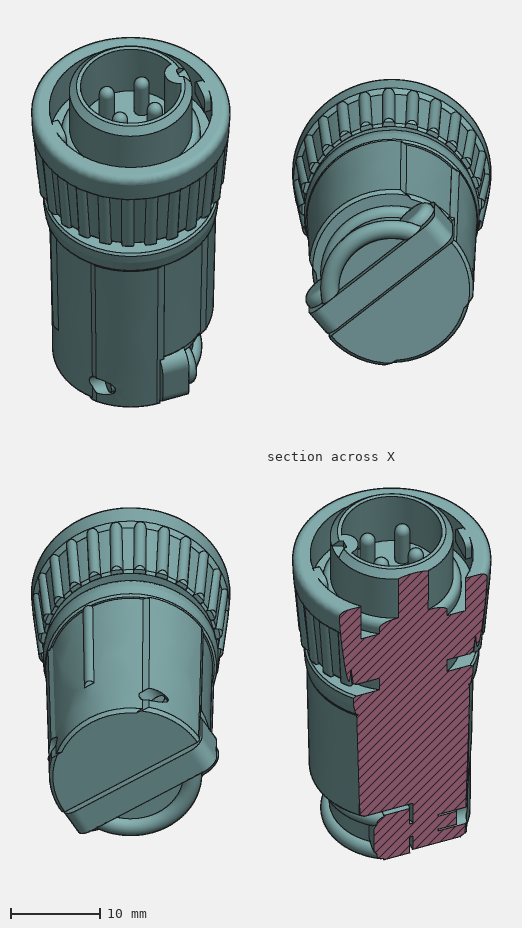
import cadquery as cq
import math

total_height = 43.84

tube_radius = 6.87
tube_bore_radius = 5.62
tube_rim_chamfer = 0.8
tube_floor_z = 37.0

sleeve_radius = 7.78
sleeve_top_z = 37.0
sleeve_fillet = 0.9

pin_radius = 0.85
pin_offset = 2.08
pin_tip_z = 42.1

key_radius = 1.6
key_center_y = 5.75
notch_outer_half_width = 1.05
notch_inner_half_width = 0.5
dimple_radius = 0.3
dimple_depth = 0.3
dimple_x = 1.77
dimple_y = 4.28

ring_radius = 11.11
ring_shoulder_radius = 11.0
ring_bottom_radius = 10.35
ring_bore_radius = 9.11
ring_top_z = 40.33
ring_shoulder_z = 37.08
ring_bottom_z = 28.36
ring_floor_z = 35.3
ring_rim_fillet = 0.8
grip_count = 24
grip_radius = 0.7
grip_height = 0.55
grip_edge_chamfer = 0.3

lug_half_width = 1.55
lug_flat_half_width = 0.7
lug_inner_y = 8.25
lug_bottom_z = 38.0

collar_top_radius = 9.78
collar_bottom_radius = 9.6
collar_top_z = 26.63
collar_band_z = 25.27
collar_bottom_z = 23.6
collar_edge = 0.25

shell_bottom_z = 0.4
shell_edge = 0.4
back_bottom_z = 7.56
panel_top_radius = 9.52
panel_bottom_radius = 9.1
slim_top_radius = 9.16
slim_bottom_radius = 8.76
panel_edge_angle = 44.5
slim_edge_angle = 40.2
wall_overrun = 1.5

rib_radius = 0.72
split_foot_y = 0.6
split_y = 0.07
split_bevel_y = -0.34
split_bevel_depth = 0.1

clamp_height = 6.95
clamp_half_width = 9.1
clamp_corner_radius = 1.64
clamp_inner_y = 0.4
clamp_outer_y = 3.52
clamp_bar_radius = 1.02
clamp_arch_radius = 7.95
clamp_web_radius = 7.0
screw_x = 6.6
screw_z = 3.5
screw_radius = 1.05
screw_hole_radius = 1.23
screw_end_y = -5.2
screw_hole_end_y = -3.0
screw_boss_radius = 2.45
screw_boss_end_y = 4.75
screw_boss_fillet = 0.95

span = 4 * ring_radius


def revolve_outline(points):
    """Solid of revolution about Z from (radius, z) points."""
    return cq.Workplane("YZ").polyline(points).close().revolve(360, (0, 0, 0), (0, 1, 0))


def box(x_range, y_range, z_range):
    (x0, x1), (y0, y1), (z0, z1) = x_range, y_range, z_range
    return cq.Workplane("XY").box(x1 - x0, y1 - y0, z1 - z0, centered=False).translate((x0, y0, z0))


def disc(radius, z0, z1):
    return cq.Workplane("XY").workplane(offset=z0).circle(radius).extrude(z1 - z0)


def cylinder_along_y(radius, x, z, y0, y1):
    return cq.Workplane(cq.Solid.makeCylinder(radius, y1 - y0, cq.Vector(x, y0, z), cq.Vector(0, 1, 0)))


def leaning_rod(radius, bottom_crest, bottom_z, top_crest, top_z):
    """Rod on the -Y side whose outer line runs from one crest distance to another."""
    start = cq.Vector(0, radius - bottom_crest, bottom_z)
    axis = cq.Vector(0, radius - top_crest, top_z) - start
    return cq.Workplane(cq.Solid.makeCylinder(radius, axis.Length, start, axis))


def make_plug():
    sleeve = disc(sleeve_radius, collar_top_z, sleeve_top_z).faces(">Z").edges().fillet(sleeve_fillet)
    tube = disc(tube_radius, ring_floor_z, total_height).faces(">Z").edges().chamfer(tube_rim_chamfer)
    bore = disc(tube_bore_radius, tube_floor_z, total_height)
    key = disc(key_radius, tube_floor_z, total_height).translate((0, key_center_y, 0)).intersect(bore)
    plug = sleeve.union(tube).cut(bore).union(key)

    notch_z = total_height - tube_rim_chamfer
    notch = (
        cq.Workplane("XY")
        .workplane(offset=notch_z)
        .polyline([
            (-notch_outer_half_width, tube_radius),
            (notch_outer_half_width, tube_radius),
            (notch_inner_half_width, tube_bore_radius),
            (-notch_inner_half_width, tube_bore_radius),
        ])
        .close()
        .extrude(tube_rim_chamfer)
    )
    dimple = disc(dimple_radius, tube_floor_z - dimple_depth, tube_floor_z).translate((dimple_x, dimple_y, 0))
    plug = plug.cut(notch).cut(dimple)

    pin_shaft_top = pin_tip_z - pin_radius
    pin = disc(pin_radius, ring_floor_z, pin_shaft_top)
    pin = pin.union(cq.Workplane("XY").sphere(pin_radius).translate((0, 0, pin_shaft_top)))
    for x in (-pin_offset, pin_offset):
        for y in (-pin_offset, pin_offset):
            plug = plug.union(pin.translate((x, y, 0)))
    return plug


def make_ring():
    valley_top = ring_shoulder_radius - grip_height
    valley_bottom = ring_bottom_radius - grip_height
    rim = revolve_outline([
        (0, ring_shoulder_z - grip_height),
        (valley_top, ring_shoulder_z - grip_height),
        (ring_shoulder_radius, ring_shoulder_z),
        (ring_radius, ring_top_z - ring_rim_fillet),
        (ring_radius, ring_top_z),
        (0, ring_top_z),
    ])
    rim = rim.faces(">Z").edges().fillet(ring_rim_fillet)
    core = revolve_outline([
        (0, ring_bottom_z),
        (valley_bottom - grip_edge_chamfer, ring_bottom_z),
        (valley_bottom, ring_bottom_z + grip_edge_chamfer),
        (valley_top, ring_shoulder_z - grip_height),
        (0, ring_shoulder_z - grip_height),
    ])
    ring = core.union(rim)
    rib = leaning_rod(grip_radius, ring_bottom_radius, ring_bottom_z, ring_shoulder_radius, ring_shoulder_z)
    for i in range(grip_count):
        ring = ring.union(rib.rotate((0, 0, 0), (0, 0, 1), (i + 0.5) * 360 / grip_count))
    envelope = revolve_outline([
        (0, ring_bottom_z),
        (ring_bottom_radius - grip_edge_chamfer, ring_bottom_z),
        (ring_radius, ring_bottom_z + ring_radius - ring_bottom_radius + grip_edge_chamfer),
        (ring_radius, ring_top_z),
        (0, ring_top_z),
    ])
    ring = ring.intersect(envelope).cut(disc(ring_bore_radius, ring_floor_z, ring_top_z))
    return ring.union(make_lug()).union(make_lug().rotate((0, 0, 0), (0, 0, 1), 180))


def make_lug():
    lug_outer_y = ring_bore_radius + grip_radius
    lug = box((-lug_half_width, lug_half_width), (lug_inner_y, lug_outer_y), (lug_bottom_z, ring_top_z))
    return lug.edges("|Y and >Z").fillet(lug_half_width - lug_flat_half_width)


def make_collar():
    return revolve_outline([
        (0, collar_bottom_z),
        (collar_bottom_radius - collar_edge, collar_bottom_z),
        (collar_bottom_radius, collar_bottom_z + collar_edge),
        (collar_top_radius, collar_band_z),
        (collar_top_radius, collar_top_z - collar_edge),
        (collar_top_radius - collar_edge, collar_top_z),
        (0, collar_top_z),
    ])


def make_shell_cone(top_radius, bottom_radius, end_z):
    """Tapered shell cut off at end_z with a chamfered lower edge."""
    taper = (top_radius - bottom_radius) / (collar_bottom_z - shell_bottom_z)
    edge_z = end_z + shell_edge
    edge_radius = bottom_radius + taper * (edge_z - shell_bottom_z)
    return revolve_outline([
        (0, end_z),
        (edge_radius - shell_edge, end_z),
        (edge_radius, edge_z),
        (top_radius, collar_bottom_z),
        (0, collar_bottom_z),
    ])


def polar(radius, angle):
    return radius * math.cos(math.radians(angle)), radius * math.sin(math.radians(angle))


def extend(inner, outer, factor):
    """Point on the line from inner through outer, at factor times their distance."""
    return tuple(a + factor * (b - a) for a, b in zip(inner, outer))


def loft_along_shell(section):
    """Loft section(slim radius, panel radius) from the bottom of the shell to the collar."""
    return (
        cq.Workplane("XY")
        .workplane(offset=shell_bottom_z)
        .polyline(section(slim_bottom_radius, panel_bottom_radius))
        .close()
        .workplane(offset=collar_bottom_z - shell_bottom_z)
        .polyline(section(slim_top_radius, panel_top_radius))
        .close()
        .loft(ruled=True)
    )


def recess_wall(slim_radius, panel_radius):
    """Slanted wall beside a recess centred on +X, from inside the slim cone to outside the panel."""
    foot = polar(slim_radius, slim_edge_angle)
    top = polar(panel_radius, panel_edge_angle)
    return [extend(top, foot, wall_overrun), extend(foot, top, wall_overrun)]


def front_recess_section(slim_radius, panel_radius):
    """Recess centred on +X, with a slanted wall on both sides."""
    inner, outer = recess_wall(slim_radius, panel_radius)
    return [
        inner,
        outer,
        (span, outer[1]),
        (span, -outer[1]),
        (outer[0], -outer[1]),
        (inner[0], -inner[1]),
    ]


def side_recess_section(slim_radius, panel_radius):
    """Recess on the +X side of the back half, from the split to the slanted wall."""
    inner, outer = recess_wall(slim_radius, panel_radius)
    return [
        inner,
        outer,
        (span, outer[1]),
        (span, split_bevel_y),
        (panel_radius, split_bevel_y),
        (panel_radius - split_bevel_depth, split_y),
        (slim_radius, split_foot_y),
        (inner[0], split_foot_y),
    ]


def make_shell():
    slim_cone = make_shell_cone(slim_top_radius, slim_bottom_radius, shell_bottom_z)
    short_slim_cone = make_shell_cone(slim_top_radius, slim_bottom_radius, back_bottom_z)
    short_cone = make_shell_cone(panel_top_radius, panel_bottom_radius, back_bottom_z)

    rib = leaning_rod(rib_radius, panel_bottom_radius, shell_bottom_z, panel_top_radius, collar_bottom_z)
    rib = rib.intersect(short_cone)
    front_recess = loft_along_shell(front_recess_section).rotate((0, 0, 0), (0, 0, 1), -90).cut(rib)
    right_recess = loft_along_shell(side_recess_section)
    left_recess = right_recess.mirror("YZ")

    shell = make_shell_cone(panel_top_radius, panel_bottom_radius, shell_bottom_z)
    shell = shell.cut(front_recess.cut(slim_cone))
    for recess in (right_recess, left_recess):
        shell = shell.cut(recess.cut(short_slim_cone))

    back_range = (split_y, span)
    back_edge_z = back_bottom_z + shell_edge
    back_edge = box((-span, span), back_range, (back_bottom_z, back_edge_z)).cut(short_cone)
    shell = shell.cut(back_edge)
    return shell.cut(box((-span, span), back_range, (0, back_bottom_z)))


def make_clamp():
    block = box((-clamp_half_width, clamp_half_width), (clamp_inner_y, clamp_outer_y), (0, clamp_height))
    block = block.edges("|Y").fillet(clamp_corner_radius)

    arch_center_radius = clamp_arch_radius - clamp_bar_radius
    arch = disc(clamp_web_radius, clamp_bar_radius, clamp_height - clamp_bar_radius)
    for z in (clamp_bar_radius, clamp_height - clamp_bar_radius):
        bar = cq.Workplane(cq.Solid.makeTorus(arch_center_radius, clamp_bar_radius, cq.Vector(0, 0, z)))
        arch = arch.union(bar)
    arch = arch.intersect(box((-span, span), (clamp_outer_y - clamp_bar_radius, span), (0, clamp_height)))
    return block.union(arch)


def add_screws(part):
    for x in (-screw_x, screw_x):
        boss = cylinder_along_y(screw_boss_radius, x, screw_z, clamp_inner_y, screw_boss_end_y)
        boss = boss.faces(">Y").edges().fillet(screw_boss_fillet)
        hole = cylinder_along_y(screw_hole_radius, x, screw_z, -span, screw_hole_end_y)
        screw = cylinder_along_y(screw_radius, x, screw_z, screw_end_y, clamp_outer_y)
        part = part.union(boss).cut(hole).union(screw)
    return part


shell = make_shell().union(make_collar())
shell_and_clamp = add_screws(shell.union(make_clamp()))
result = shell_and_clamp.union(make_plug()).union(make_ring())